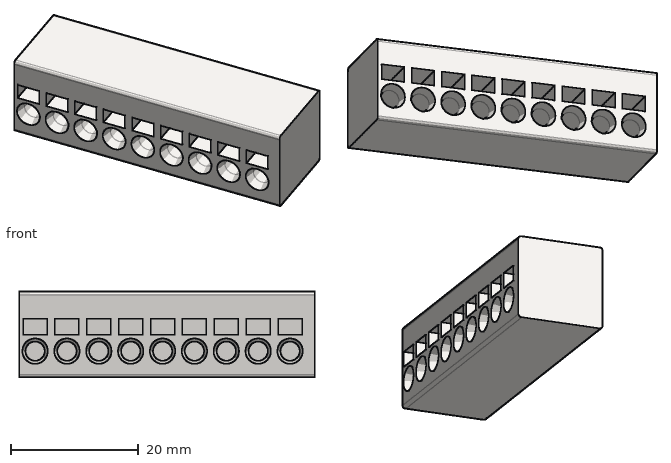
import cadquery as cq

length = 46.4
depth = 14.4
height = 13.5
edge_radius = 0.5

pole_count = 9
pole_row_span = 40.0
pole_pitch = pole_row_span / (pole_count - 1)
first_pole_offset = 2.5

funnel_diameter = 4.0
bore_diameter = 3.0
funnel_depth = 1.62
entry_depth = 6.95
entry_height = 4.15

slot_width = 3.75
slot_height = 2.5
slot_depth = 6.95
slot_floor_height = 6.7

front_y = -depth / 2
bottom_z = -height / 2
pole_positions = [-length / 2 + first_pole_offset + i * pole_pitch for i in range(pole_count)]


def housing():
    """Block with its four long edges rounded."""
    return cq.Workplane("XY").box(length, depth, height).edges("|X").fillet(edge_radius)


def wire_entry(x):
    """Revolved funnel and bore, opening on the front face."""
    funnel_radius = funnel_diameter / 2
    bore_radius = bore_diameter / 2
    profile = (
        cq.Workplane("XY")
        .lineTo(funnel_radius, 0)
        .lineTo(bore_radius, funnel_depth)
        .lineTo(bore_radius, entry_depth)
        .lineTo(0, entry_depth)
        .close()
    )
    cutter = profile.revolve(360, (0, 0), (0, 1))
    return cutter.translate((x, front_y, bottom_z + entry_height))


def release_slot(x):
    """Rectangular pocket, opening on the front face."""
    cutter = cq.Workplane("XY").box(slot_width, slot_depth, slot_height, centered=(True, False, False))
    return cutter.translate((x, front_y, bottom_z + slot_floor_height))


result = housing()
for pole_x in pole_positions:
    result = result.cut(wire_entry(pole_x))
    result = result.cut(release_slot(pole_x))